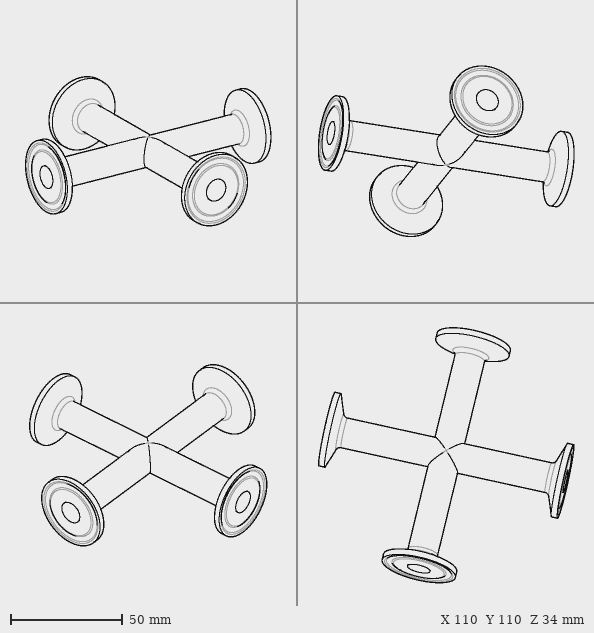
import cadquery as cq
import math

span = 110.0
arm_length = span / 2
tube_radius = 13.8 / 2
bore_radius = 10.5 / 2

flange_radius = 34.0 / 2
rim_thickness = 2.8
back_angle = math.radians(20)
neck_radius = 2.2

groove_center = 13.8
groove_radius = 1.5
lip_radius = 0.9
mouth_half_width = 2.0


def groove_section_points():
    """Return half width at the arc tangent points, and depths there and at the floor."""
    sine = mouth_half_width / (groove_radius + lip_radius)
    drop = 1 - math.sqrt(1 - sine**2)
    return groove_radius * sine, lip_radius * drop, (groove_radius + lip_radius) * drop


def make_arm():
    """Revolve one solid arm along +X, from the cross center to the end face."""
    neck_start = tube_radius + neck_radius * (1 - math.sin(back_angle))
    rim_back = arm_length - rim_thickness
    cone_end = rim_back - (flange_radius - neck_start) * math.tan(back_angle)
    tube_end = cone_end - neck_radius * math.cos(back_angle)

    tangent_offset, tangent_depth, floor_depth = groove_section_points()
    tangent_x = arm_length - tangent_depth

    profile = (
        cq.Workplane("XY")
        .lineTo(arm_length, 0)
        .lineTo(arm_length, groove_center - mouth_half_width)
        .tangentArcPoint((tangent_x, groove_center - tangent_offset), relative=False)
        .threePointArc(
            (arm_length - floor_depth, groove_center),
            (tangent_x, groove_center + tangent_offset),
        )
        .tangentArcPoint((arm_length, groove_center + mouth_half_width), relative=False)
        .lineTo(arm_length, flange_radius)
        .lineTo(rim_back, flange_radius)
        .lineTo(cone_end, neck_start)
        .tangentArcPoint((tube_end, tube_radius), relative=False)
        .lineTo(0, tube_radius)
        .close()
    )
    return profile.revolve(360, (0, 0, 0), (1, 0, 0))


def make_bore(plane):
    """Cylinder running through two opposite arms."""
    return cq.Workplane(plane).circle(bore_radius).extrude(arm_length, both=True)


arm = make_arm()
result = arm
for angle in (90, 180, 270):
    result = result.union(arm.rotate((0, 0, 0), (0, 0, 1), angle))

for plane in ("YZ", "XZ"):
    result = result.cut(make_bore(plane))